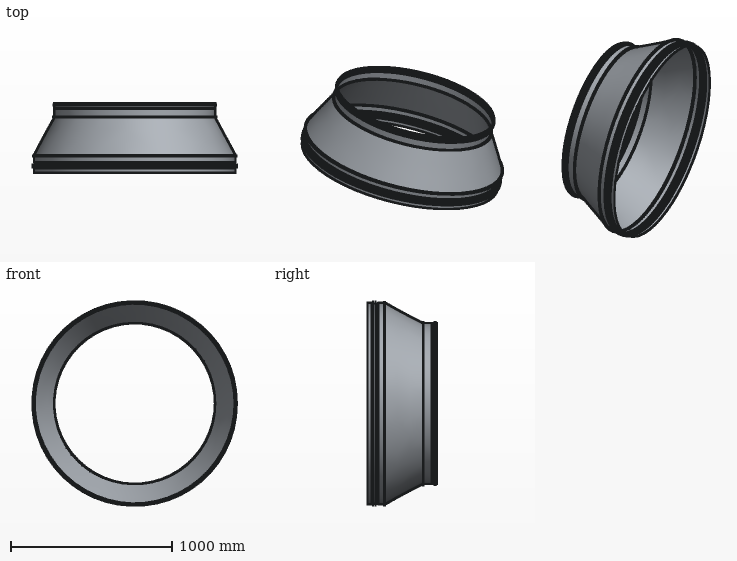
import cadquery as cq


SHEET = 1.0
STEP_RUN = 4.0
TOTAL_LENGTH = 432.0

LARGE_RADIUS = 1249.0 / 2
LARGE_GROOVE_RADIUS = 1239.0 / 2
LARGE_GROOVE_START = 27.0
LARGE_GROOVE_END = 68.0
LARGE_JOINT = 105.0
LARGE_FLANGE_RADIUS = 1260.0 / 2
LARGE_FLANGE = 3.0

CONE_COLLAR = 3.0

SMALL_RADIUS = 999.0 / 2
SMALL_GROOVE_RADIUS = 995.0 / 2
SMALL_GROOVE_START = 396.0
SMALL_GROOVE_END = 428.0
SMALL_JOINT = 347.0
SMALL_FLANGE_RADIUS = 506.0
SMALL_FLANGE = 1.0

LARGE_BAND_START = LARGE_GROOVE_START + STEP_RUN
LARGE_BAND_END = 60.0
LARGE_BAND_RADIUS = 1242.0 / 2
LARGE_BAND_RAMP = 4.0
LARGE_LIP_RADIUS = 633.0
LARGE_LIP_STARTS = (34.0, 49.0)
LIP_THICKNESS = 1.0

SMALL_BAND_START = 402.0
SMALL_BAND_RADIUS = SMALL_RADIUS
SMALL_LIP_RADIUS = 1009.0 / 2
SMALL_LIP_START = 416.0
SMALL_LIP_RIM = 4.0


def turn(profile):
    """One solid: the closed (radius, y) profile turned about the Y axis."""
    return cq.Workplane("XY").polyline(profile).close().revolve(360, (0, 0, 0), (0, 1, 0))


def grooved_wall(radius, groove_radius, start, groove_start, groove_end, end):
    """Outer and inner outlines, both from start to end, of a tube wall pressed inwards to form a groove.

    The groove has a sloped step at each side.
    """
    outer = [
        (radius, start),
        (radius, groove_start),
        (groove_radius, groove_start + STEP_RUN),
        (groove_radius, groove_end - STEP_RUN),
        (radius, groove_end),
        (radius, end),
    ]
    inner = [(r - SHEET, y) for r, y in outer]
    return outer, inner


def make_large_spigot():
    outer, inner = grooved_wall(
        LARGE_RADIUS, LARGE_GROOVE_RADIUS, 0, LARGE_GROOVE_START, LARGE_GROOVE_END, LARGE_JOINT
    )
    wall = outer[:-1]
    flange = [
        (LARGE_RADIUS, LARGE_JOINT - LARGE_FLANGE),
        (LARGE_FLANGE_RADIUS, LARGE_JOINT - LARGE_FLANGE),
        (LARGE_FLANGE_RADIUS, LARGE_JOINT),
    ]
    return turn(wall + flange + inner[::-1])


def make_small_spigot():
    outer, inner = grooved_wall(
        SMALL_RADIUS, SMALL_GROOVE_RADIUS, SMALL_JOINT, SMALL_GROOVE_START, SMALL_GROOVE_END, TOTAL_LENGTH
    )
    wall = outer[1:]
    flange = [
        (SMALL_FLANGE_RADIUS, SMALL_JOINT),
        (SMALL_FLANGE_RADIUS, SMALL_JOINT + SMALL_FLANGE),
        (SMALL_RADIUS, SMALL_JOINT + SMALL_FLANGE),
    ]
    return turn(flange + wall + inner[::-1])


def make_cone():
    taper_start = LARGE_JOINT + LARGE_FLANGE + CONE_COLLAR
    taper_end = SMALL_JOINT - SMALL_FLANGE - CONE_COLLAR
    return turn([
        (LARGE_RADIUS - SHEET, LARGE_JOINT),
        (LARGE_FLANGE_RADIUS, LARGE_JOINT),
        (LARGE_FLANGE_RADIUS, LARGE_JOINT + LARGE_FLANGE),
        (LARGE_RADIUS, LARGE_JOINT + LARGE_FLANGE),
        (LARGE_RADIUS, taper_start),
        (SMALL_RADIUS, taper_end),
        (SMALL_RADIUS, SMALL_JOINT - SMALL_FLANGE),
        (SMALL_FLANGE_RADIUS, SMALL_JOINT - SMALL_FLANGE),
        (SMALL_FLANGE_RADIUS, SMALL_JOINT),
        (SMALL_RADIUS - SHEET, SMALL_JOINT),
        (SMALL_RADIUS - SHEET, taper_end),
        (LARGE_RADIUS - SHEET, taper_start),
    ])


def make_large_seal():
    profile = [(LARGE_GROOVE_RADIUS, LARGE_BAND_START), (LARGE_BAND_RADIUS, LARGE_BAND_START)]
    for lip_start in LARGE_LIP_STARTS:
        profile += [
            (LARGE_BAND_RADIUS, lip_start),
            (LARGE_LIP_RADIUS, lip_start),
            (LARGE_LIP_RADIUS, lip_start + LIP_THICKNESS),
            (LARGE_BAND_RADIUS, lip_start + LIP_THICKNESS),
        ]
    profile += [(LARGE_BAND_RADIUS, LARGE_BAND_END - LARGE_BAND_RAMP), (LARGE_GROOVE_RADIUS, LARGE_BAND_END)]
    return turn(profile)


def make_small_seal():
    return turn([
        (SMALL_GROOVE_RADIUS, SMALL_BAND_START),
        (SMALL_BAND_RADIUS, SMALL_BAND_START),
        (SMALL_BAND_RADIUS, SMALL_LIP_START),
        (SMALL_LIP_RADIUS, SMALL_LIP_START),
        (SMALL_LIP_RADIUS, SMALL_LIP_START + SMALL_LIP_RIM),
        (SMALL_BAND_RADIUS, SMALL_GROOVE_END),
        (SMALL_GROOVE_RADIUS, SMALL_GROOVE_END - STEP_RUN),
    ])


large_spigot = make_large_spigot()
cone = make_cone()
small_spigot = make_small_spigot()
large_seal = make_large_seal()
small_seal = make_small_seal()

result = cq.Compound.makeCompound([
    large_spigot.val(),
    cone.val(),
    small_spigot.val(),
    large_seal.val(),
    small_seal.val(),
])